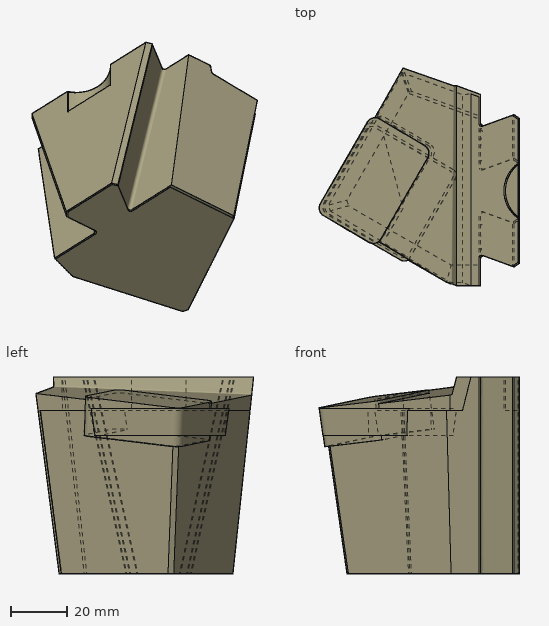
import cadquery as cq
import math


HEIGHT = 70.19
DRAFT = math.tan(math.radians(6))
RIDGE_LEAN = math.tan(math.radians(14))
MARGIN = 20.0
FAR = 120.0

LEFT_DIRECTION = 150
FRONT_DIRECTION = LEFT_DIRECTION + 90
SIDE_DIRECTION = 270
BACK_DIRECTION = 70
WALL_DIRECTION = 0

SHELL_LEFT = 67.95
SHELL_FRONT = 5.1
SHELL_SIDE = -HEIGHT * DRAFT
SHELL_BACK_TOP = 59.36
SHELL_BACK = SHELL_BACK_TOP - HEIGHT * DRAFT
SHELL_WALL = -13.8
NOSE_BEVEL_LEG = 1.5

LEFT_STEP = 0.5
FRONT_STEP = 0.67
BACK_SKIN = 1.05
REAR_SKIN = 0.57
FLANK_SKIN = 0.1
CORE_SHOULDER_Z = 58.2
CORE_SHOULDER_X = -20.25

DOVETAIL_CENTRE_Y = 33.85
DOVETAIL_TIP_HALF = 27.85
DOVETAIL_FLANK = math.tan(math.radians(20))
DOVETAIL_TAPER = math.tan(math.radians(12.5))
DOVETAIL_CHAMFER = 2.0
DOVETAIL_FILLET = 1.0
NOTCH_RADIUS = 12.0
NOTCH_REACH = 4.96
NOTCH_DEPTH = 12.0

NOSE = cq.Vector(-72.48, 26.6, 58.95)
RAKE = math.tan(math.radians(6))
INSERT_STANDOUT = 1.1
INSERT_LENGTH = 40.0
INSERT_WIDTH = 25.1
INSERT_THICKNESS = 14.0
INSERT_CORNER = 3.2
PLATE_SIDE = 37.3
PLATE_TOP_Z = 58.85
PLATE_THICKNESS = 9.55
PLATE_RELIEF = 5.8
PLATE_CORNER = 2.3

RIDGE_TOP_X = -22.4
RIDGE_FILLET = 0.8


def unit(direction):
    angle = math.radians(direction)
    return cq.Vector(math.cos(angle), math.sin(angle), 0)


def wall_corner(first, second):
    """Point where two walls, each (direction, distance), meet."""
    a, b = unit(first[0]), unit(second[0])
    cross = a.x * b.y - a.y * b.x
    x = (first[1] * b.y - second[1] * a.y) / cross
    y = (a.x * second[1] - b.x * first[1]) / cross
    return x, y


def loft_between(bottom, top):
    lofted = cq.Workplane("XY").polyline(bottom).close()
    return lofted.workplane(offset=HEIGHT).polyline(top).close().loft(ruled=True)


def head_outline(z, left, front, side, back, wall_x):
    spread = z * DRAFT
    bevel = (left + front + 2 * spread - NOSE_BEVEL_LEG) / math.sqrt(2)
    walls = [
        (SIDE_DIRECTION, side + spread),
        (WALL_DIRECTION, wall_x),
        (BACK_DIRECTION, back + spread),
        (LEFT_DIRECTION, left + spread),
        ((LEFT_DIRECTION + FRONT_DIRECTION) / 2, bevel),
        (FRONT_DIRECTION, front + spread),
    ]
    return [wall_corner(walls[i - 1], walls[i]) for i in range(len(walls))]


def dovetail_outline(z, rear_x, wall_x, tip_half):
    tip = tip_half - (HEIGHT - z) * DOVETAIL_TAPER
    neck = tip - (rear_x - wall_x) * DOVETAIL_FLANK
    points = [(wall_x, -neck), (rear_x, -tip), (rear_x, tip), (wall_x, neck)]
    return [(x, DOVETAIL_CENTRE_Y + y) for x, y in points]


def holder_blank(left, front, side, back, rear_x, tip_half):
    wall_x = SHELL_WALL + rear_x
    head = loft_between(
        head_outline(0, left, front, side, back, wall_x),
        head_outline(HEIGHT, left, front, side, back, wall_x),
    )
    bottom = dovetail_outline(0, rear_x, wall_x, tip_half)
    top = dovetail_outline(HEIGHT, rear_x, wall_x, tip_half)
    dovetail = loft_between(bottom, top)
    dovetail = dovetail.faces(">X").edges("not |Y").chamfer(DOVETAIL_CHAMFER)
    blank = head.union(dovetail)
    for low, high in ((bottom[0], top[0]), (bottom[3], top[3])):
        middle = ((low[0] + high[0]) / 2, (low[1] + high[1]) / 2, HEIGHT / 2)
        blank = blank.edges(cq.NearestToPointSelector(middle)).fillet(DOVETAIL_FILLET)
    notch = (
        cq.Workplane("XY", origin=(0, 0, HEIGHT))
        .center(rear_x - NOTCH_REACH + NOTCH_RADIUS, DOVETAIL_CENTRE_Y)
        .circle(NOTCH_RADIUS)
        .extrude(-NOTCH_DEPTH)
    )
    return blank.cut(notch)


def rake_plane():
    """Plane through the nose, rising equally along both cutting edges."""
    along_left = unit(LEFT_DIRECTION - 90)
    along_front = unit(FRONT_DIRECTION + 90)
    slope = (along_left + along_front) * RAKE
    normal = cq.Vector(-slope.x, -slope.y, 1)
    return cq.Plane(NOSE, xDir=along_left + cq.Vector(0, 0, RAKE), normal=normal)


def insert_blank():
    return (
        cq.Workplane(rake_plane())
        .center(INSERT_LENGTH / 2, -INSERT_WIDTH / 2)
        .rect(INSERT_LENGTH, INSERT_WIDTH)
        .extrude(-INSERT_THICKNESS)
        .edges(cq.ParallelDirSelector(rake_plane().zDir))
        .fillet(INSERT_CORNER)
    )


def plate_blank():
    corner = (NOSE.x, NOSE.y, PLATE_TOP_Z)
    plane = cq.Plane(corner, xDir=unit(LEFT_DIRECTION - 90), normal=(0, 0, 1))
    plate = (
        cq.Workplane(plane)
        .center(PLATE_SIDE / 2, -PLATE_SIDE / 2)
        .rect(PLATE_SIDE, PLATE_SIDE)
        .extrude(-PLATE_THICKNESS, taper=PLATE_RELIEF)
    )
    corners = [
        (0, 0, INSERT_CORNER),
        (PLATE_SIDE, 0, PLATE_CORNER),
        (PLATE_SIDE, -PLATE_SIDE, PLATE_CORNER),
        (0, -PLATE_SIDE, PLATE_CORNER),
    ]
    for x, y, radius in corners:
        middle = plane.toWorldCoords((x, y, -PLATE_THICKNESS / 2))
        plate = plate.edges("not #Z").edges(cq.NearestToPointSelector(middle)).fillet(radius)
    return plate


def cap_clearance():
    low_x = RIDGE_TOP_X - MARGIN * RIDGE_LEAN
    high_x = RIDGE_TOP_X + MARGIN * RIDGE_LEAN
    ahead_of_ridge = (
        cq.Workplane("XZ", origin=(0, FAR, 0))
        .polyline([
            (-FAR, HEIGHT - MARGIN),
            (low_x, HEIGHT - MARGIN),
            (high_x, HEIGHT + MARGIN),
            (-FAR, HEIGHT + MARGIN),
        ])
        .close()
        .extrude(2 * FAR)
    )
    cap_plane = cq.Workplane(rake_plane()).workplane(offset=-INSERT_STANDOUT)
    above_rake = cap_plane.rect(2 * FAR, 2 * FAR).extrude(FAR)
    clearance = above_rake.intersect(ahead_of_ridge)
    foot = (RIDGE_TOP_X, DOVETAIL_CENTRE_Y, CORE_SHOULDER_Z)
    return clearance.edges(cq.NearestToPointSelector(foot)).fillet(RIDGE_FILLET)


def core_limits():
    joint_top_x = CORE_SHOULDER_X + (HEIGHT - CORE_SHOULDER_Z) * RIDGE_LEAN
    return (
        cq.Workplane("XZ", origin=(0, FAR, 0))
        .polyline([
            (-FAR, 0),
            (-FAR, CORE_SHOULDER_Z),
            (CORE_SHOULDER_X, CORE_SHOULDER_Z),
            (joint_top_x, HEIGHT),
            (MARGIN, HEIGHT),
            (MARGIN, 0),
        ])
        .close()
        .extrude(2 * FAR)
    )


side_plate = plate_blank()
insert_envelope = insert_blank()
tilted_insert = insert_envelope.cut(side_plate)

core_envelope = holder_blank(
    SHELL_LEFT + LEFT_STEP,
    SHELL_FRONT + FRONT_STEP,
    SHELL_SIDE,
    SHELL_BACK - BACK_SKIN,
    -REAR_SKIN,
    DOVETAIL_TIP_HALF - FLANK_SKIN - REAR_SKIN * DOVETAIL_FLANK,
).intersect(core_limits())
core = core_envelope.cut(insert_envelope).cut(side_plate)

shell = (
    holder_blank(SHELL_LEFT, SHELL_FRONT, SHELL_SIDE, SHELL_BACK, 0, DOVETAIL_TIP_HALF)
    .cut(cap_clearance())
    .cut(core_envelope)
    .cut(insert_envelope)
    .cut(side_plate)
)

result = cq.Compound.makeCompound([
    *shell.solids().vals(),
    *core.solids().vals(),
    *tilted_insert.solids().vals(),
    *side_plate.solids().vals(),
])